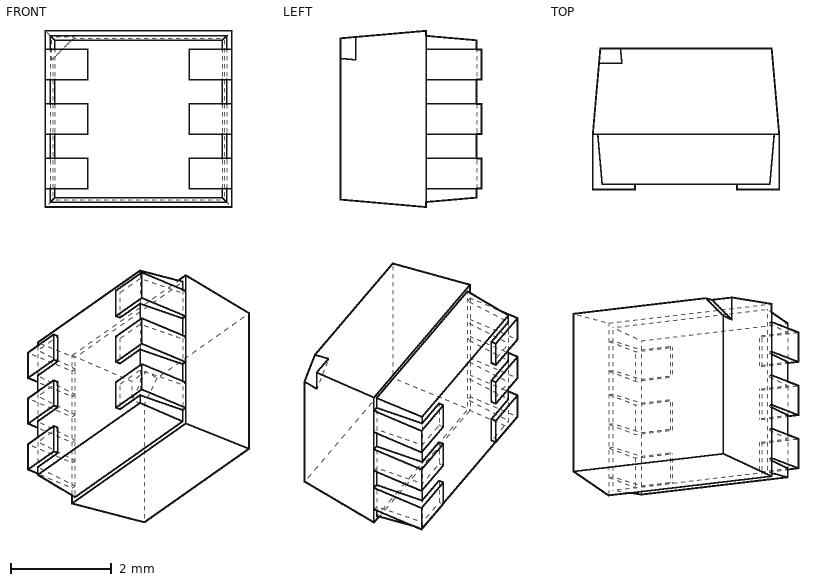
import cadquery as cq
import math


body_width = 3.7
body_height = 3.5
cover_depth = 1.7
base_depth = 1.0
base_inset = 0.1
draft_angle = 5.0

notch_leg = 0.7
notch_depth = 0.3

lead_width = 0.6
lead_pitch = 1.08
lead_foot = 0.84
lead_standoff = 0.1
leads_per_row = 3

base_face_y = lead_standoff
parting_y = base_face_y + base_depth
back_face_y = parting_y + cover_depth


def drafted_block(width, height, depth, direction):
    """Block that starts at the parting plane and narrows along direction (+1 or -1) in Y."""
    shrink = 2 * depth * math.tan(math.radians(draft_angle))
    return (
        cq.Workplane("XZ", origin=(0, parting_y, 0))
        .rect(width, height)
        .workplane(offset=-direction * depth)
        .rect(width - shrink, height - shrink)
        .loft(ruled=True)
    )


def make_cover():
    """Back half of the case, with a triangular orientation notch at its -X, +Z corner."""
    left = -body_width / 2
    top = body_height / 2
    notch = (
        cq.Workplane("XZ", origin=(0, back_face_y, 0))
        .polyline([(left, top), (left + notch_leg, top), (left, top - notch_leg)])
        .close()
        .extrude(notch_depth)
    )
    return drafted_block(body_width, body_height, cover_depth, 1).cut(notch)


def make_base():
    """Smaller front half of the case, which carries the leads."""
    return drafted_block(body_width - 2 * base_inset, body_height - 2 * base_inset, base_depth, -1)


def make_lead(side, z, base):
    """L-shaped lead that runs down the base's side wall and folds under its face."""
    center_x = side * (body_width - lead_foot) / 2
    center_y = parting_y / 2
    block = cq.Workplane("XY").box(lead_foot, parting_y, lead_width).translate((center_x, center_y, z))
    return block.cut(base)


cover = make_cover()
base = make_base()
leads = []
for side in (-1, 1):
    for row in range(leads_per_row):
        lead_z = (row - (leads_per_row - 1) / 2) * lead_pitch
        leads.append(make_lead(side, lead_z, base))

result = cq.Compound.makeCompound([cover.val(), base.val(), *[lead.val() for lead in leads]])